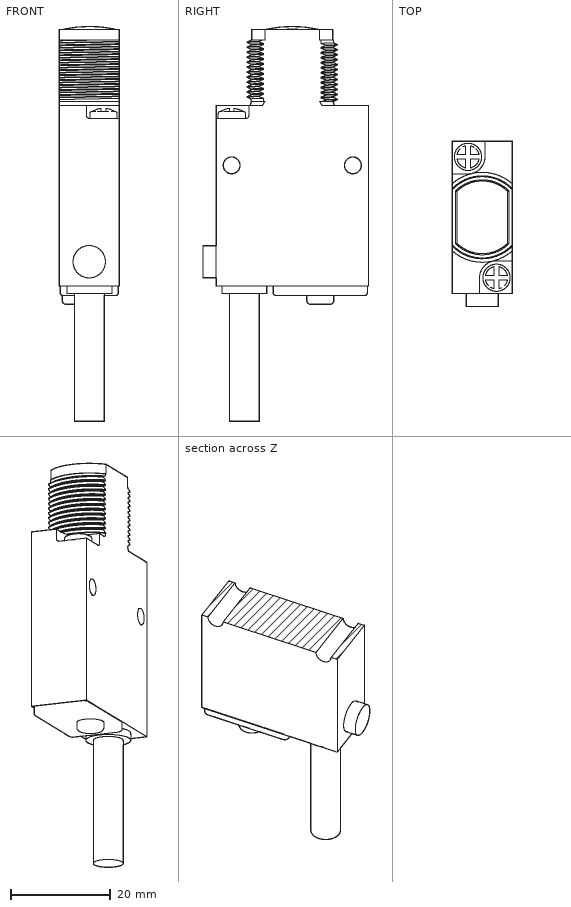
import cadquery as cq
import math

TOTAL_HEIGHT = 79.45
THICKNESS = 12.1
WIDTH = 30.7
HOUSING_BOTTOM = 27.2
HOUSING_TOP = 63.55

THREAD_RADIUS = 9.05
THREAD_ROOT_RADIUS = 8.35
THREAD_BOTTOM = 64.35
THREAD_TOP = 76.7
FIRST_CREST = 64.75
THREAD_TURNS = 12
THREAD_PITCH = (THREAD_TOP - FIRST_CREST) / THREAD_TURNS
RIDGE_BASE = 0.9 * THREAD_PITCH
RIDGE_CREST = 0.1 * THREAD_PITCH
RIDGE_OVERLAP = 0.1
NECK_BASE_RADIUS = 8.5
RIM_RADIUS = 8.2
RIM_TOP = 78.8

LENS_RADIUS = 7.3
LENS_THICKNESS = 10.25
LENS_CURVATURE = 23.8
LENS_RECESS_DEPTH = 2.4
RIM_BEVEL = 0.2

SCREW_X = 2.85
SCREW_Y = 12.15
SCREW_DIAMETER = 5.5
SCREW_RADIUS = SCREW_DIAMETER / 2
SCREW_SIDE = 0.95
SCREW_SHOULDER = 0.5
SCREW_HEIGHT = 2.1
SLOT_WIDTH = 0.95
SLOT_FLOOR = 1.4
POCKET_DEPTH = 2.6
POCKET_RADIUS = 3.4
POCKET_FILLET = 0.595

HOLE_DIAMETER = 3.3
HOLE_SPACING = 24.4
HOLE_HEIGHT = 51.5

BUTTON_DIAMETER = 6.5
BUTTON_LENGTH = 2.6
BUTTON_HEIGHT = 32.1

COVER_THICKNESS = 1.9
COVER_WIDTH = 11.75
COVER_LENGTH = 19.0
COVER_Y = 5.65
COVER_CORNER_RADIUS = 1.0
COVER_FILLET = 0.6
COVER_SCREW_X = -2.7
COVER_SCREW_HEIGHT = 1.75
COVER_SCREW_FILLET = 0.8

CABLE_Y = -9.6
CABLE_DIAMETER = 6.0
GLAND_DIAMETER = 9.05
GLAND_LENGTH = 1.5


def cylinder(radius, bottom, top, x=0, y=0):
    """Upright cylinder between two heights."""
    return cq.Workplane("XY", origin=(x, y, bottom)).circle(radius).extrude(top - bottom)


def box(x_size, y_size, bottom, top):
    """Box centred on the Z axis between two heights."""
    return cq.Workplane("XY", origin=(0, 0, bottom)).rect(x_size, y_size).extrude(top - bottom)


def make_ridge():
    """Stretch of one right-hand thread ridge on the +Y side, its crest middle at height 0."""
    start = cq.Vector(0, 0, -THREAD_PITCH / 4)
    helix = cq.Wire.makeHelix(THREAD_PITCH, THREAD_PITCH / 2, THREAD_ROOT_RADIUS, center=start)
    half_turn = (
        cq.Workplane("XZ", origin=start)
        .polyline([
            (THREAD_ROOT_RADIUS - RIDGE_OVERLAP, -RIDGE_BASE / 2),
            (THREAD_RADIUS, -RIDGE_CREST / 2),
            (THREAD_RADIUS, RIDGE_CREST / 2),
            (THREAD_ROOT_RADIUS - RIDGE_OVERLAP, RIDGE_BASE / 2),
        ])
        .close()
        .sweep(cq.Workplane(helix), isFrenet=True)
    )
    return half_turn.intersect(box(THICKNESS, WIDTH, -THREAD_PITCH, THREAD_PITCH))


def make_thread():
    """Root cylinder with the helical ridge left standing on its two round sides."""
    trim = box(THICKNESS, WIDTH, THREAD_BOTTOM, THREAD_TOP)
    core = cylinder(THREAD_ROOT_RADIUS, THREAD_BOTTOM, THREAD_TOP).intersect(trim)
    ridge = make_ridge()
    segments = []
    for half_turn in range(2 * THREAD_TURNS):
        height = FIRST_CREST + half_turn * THREAD_PITCH / 2
        segment = ridge.rotate((0, 0, 0), (0, 0, 1), 180 * half_turn).translate((0, 0, height))
        segments.append(segment.intersect(trim).val())
    return cq.Workplane(core.val().fuse(*segments))


def make_neck():
    """Flared base, thread and plain rim, trimmed to the housing thickness."""
    base = (
        cq.Workplane("XZ")
        .polyline([
            (0, HOUSING_TOP),
            (NECK_BASE_RADIUS, HOUSING_TOP),
            (RIM_RADIUS, THREAD_BOTTOM),
            (0, THREAD_BOTTOM),
        ])
        .close()
        .revolve(360, (0, 0), (0, 1))
    )
    rim = cylinder(RIM_RADIUS, THREAD_TOP, RIM_TOP)
    trim = box(THICKNESS, WIDTH, HOUSING_TOP, RIM_TOP)
    return make_thread().union(base.intersect(trim)).union(rim.intersect(trim))


def lens_blank(bottom, top, margin=0):
    """Round lens blank with two parallel flats, enlarged all round by a margin."""
    flats = box(LENS_THICKNESS + 2 * margin, WIDTH, bottom, top)
    return cylinder(LENS_RADIUS + margin, bottom, top).intersect(flats)


def add_lens(body):
    """Recess the rim, bevel its inner edge and fill it with a domed lens."""
    floor = RIM_TOP - LENS_RECESS_DEPTH
    bevel = lens_blank(RIM_TOP - RIM_BEVEL, RIM_TOP + RIM_BEVEL, RIM_BEVEL).faces("<Z").chamfer(RIM_BEVEL)
    dome = cq.Workplane("XY", origin=(0, 0, TOTAL_HEIGHT - LENS_CURVATURE)).sphere(LENS_CURVATURE)
    lens = lens_blank(floor, TOTAL_HEIGHT).intersect(dome)
    return body.cut(lens_blank(floor, RIM_TOP)).cut(bevel).union(lens)


def make_pocket():
    """Corner pocket open at -X and +Y, rounded around the screw axis and along its floor."""
    floor = HOUSING_TOP - POCKET_DEPTH
    reach = 2 * THICKNESS
    return (
        cq.Workplane("XY", origin=(POCKET_RADIUS - SCREW_X, SCREW_Y - POCKET_RADIUS, floor))
        .rect(-reach, reach, centered=False)
        .extrude(POCKET_DEPTH)
        .edges("|Z and >X and <Y")
        .fillet(POCKET_RADIUS)
        .faces("<Z")
        .edges()
        .fillet(POCKET_FILLET)
    )


def make_cap_screw():
    """Domed screw head with a cross slot, standing on the pocket floor."""
    shoulder_radius = SCREW_RADIUS - SCREW_SHOULDER
    shoulder_height = SCREW_SIDE + SCREW_SHOULDER
    crown_radius = shoulder_radius / 2
    crown_height = SCREW_HEIGHT - (SCREW_HEIGHT - shoulder_height) / 4
    corner = SCREW_SHOULDER * (1 - math.sqrt(0.5))
    head = (
        cq.Workplane("XZ")
        .lineTo(SCREW_RADIUS, 0)
        .lineTo(SCREW_RADIUS, SCREW_SIDE)
        .threePointArc((SCREW_RADIUS - corner, shoulder_height - corner), (shoulder_radius, shoulder_height))
        .threePointArc((crown_radius, crown_height), (0, SCREW_HEIGHT))
        .close()
        .revolve(360, (0, 0), (0, 1))
    )
    for x_size, y_size in ((SLOT_WIDTH, 2 * SCREW_RADIUS), (2 * SCREW_RADIUS, SLOT_WIDTH)):
        head = head.cut(box(x_size, y_size, SLOT_FLOOR, SCREW_HEIGHT))
    return head.translate((-SCREW_X, SCREW_Y, HOUSING_TOP - POCKET_DEPTH))


def add_cap_screws(body):
    """Pocket and screw in two opposite corners, half a turn apart about Z."""
    pocket = make_pocket()
    screw = make_cap_screw()
    for angle in (0, 180):
        body = body.cut(pocket.rotate((0, 0, 0), (0, 0, 1), angle))
        body = body.union(screw.rotate((0, 0, 0), (0, 0, 1), angle))
    return body


def drill_mounting_holes(body):
    """Two through holes along X."""
    holes = (
        cq.Workplane("YZ", origin=(0, 0, HOLE_HEIGHT))
        .pushPoints([(-HOLE_SPACING / 2, 0), (HOLE_SPACING / 2, 0)])
        .circle(HOLE_DIAMETER / 2)
        .extrude(THICKNESS, both=True)
    )
    return body.cut(holes)


def make_button():
    """Round button standing out of the -Y side."""
    return (
        cq.Workplane("XZ", origin=(0, -WIDTH / 2, BUTTON_HEIGHT))
        .circle(BUTTON_DIAMETER / 2)
        .extrude(BUTTON_LENGTH)
    )


def make_cover():
    """Rounded cover plate with a plain round screw head beneath it."""
    cover_bottom = HOUSING_BOTTOM - COVER_THICKNESS
    plate = (
        box(COVER_WIDTH, COVER_LENGTH, cover_bottom, HOUSING_BOTTOM)
        .edges("|Z")
        .fillet(COVER_CORNER_RADIUS)
        .faces("<Z")
        .edges()
        .fillet(COVER_FILLET)
    )
    screw = (
        cylinder(SCREW_RADIUS, cover_bottom - COVER_SCREW_HEIGHT, cover_bottom, x=COVER_SCREW_X)
        .faces("<Z")
        .edges()
        .fillet(COVER_SCREW_FILLET)
    )
    return plate.union(screw).translate((0, COVER_Y, 0))


def make_cable():
    """Straight cable leaving the housing through a short round gland."""
    gland = cylinder(GLAND_DIAMETER / 2, HOUSING_BOTTOM - GLAND_LENGTH, HOUSING_BOTTOM, y=CABLE_Y)
    return cylinder(CABLE_DIAMETER / 2, 0, HOUSING_BOTTOM, y=CABLE_Y).union(gland)


sensor = box(THICKNESS, WIDTH, HOUSING_BOTTOM, HOUSING_TOP)
sensor = add_lens(sensor.union(make_neck()))
sensor = add_cap_screws(sensor)
sensor = drill_mounting_holes(sensor)
sensor = sensor.union(make_button()).union(make_cover()).union(make_cable())
result = cq.Workplane(sensor.solids().val())